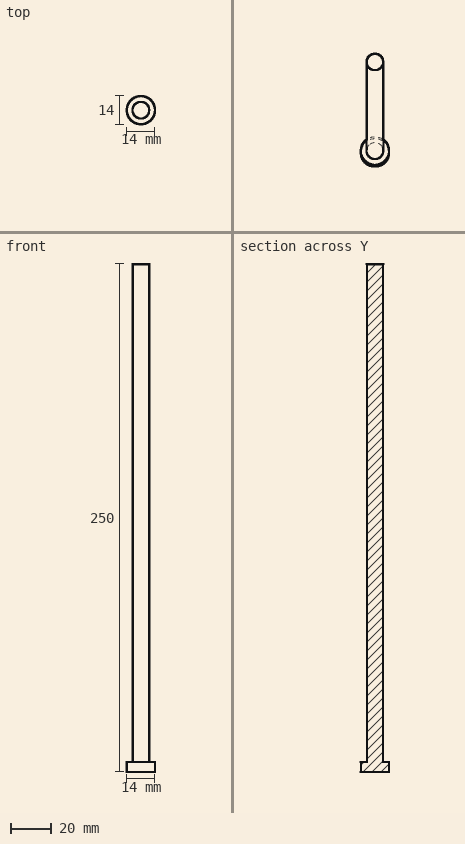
import cadquery as cq

total_length = 250.0
head_diameter = 14.0
head_thickness = 5.0
shank_diameter = 8.2

head = cq.Workplane("XY").circle(head_diameter / 2).extrude(head_thickness)
shank = cq.Workplane("XY").circle(shank_diameter / 2).extrude(total_length)

result = head.union(shank)